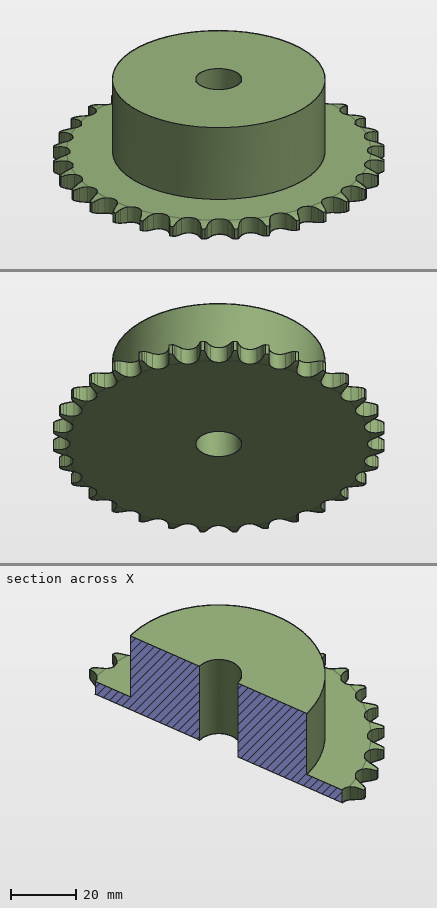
import cadquery as cq
import math

tooth_count = 32
root_radius = 45.4
seat_radius = 3.2
seat_half_angle = 53.1
working_radius = 8.3
working_angle = 16.3
straight_length = 0.9
topping_radius = 5.1
tip_radius = 50.7
plate_thickness = 5.3
bevel_start_radius = 46.4
bevel_arc_radius = 9.5
hub_diameter = 65.0
bore_diameter = 14.0
total_height = 30.0

tooth_angle = 360 / tooth_count
pitch_radius = root_radius + seat_radius
flank_angle = seat_half_angle + working_angle


def offset(point, distance, angle):
    """Move a point by a distance along a direction in degrees, counted from -X toward +Y."""
    a = math.radians(angle)
    return (point[0] - distance * math.cos(a), point[1] + distance * math.sin(a))


def rotated(point, angle):
    """Turn a point about the sprocket axis by an angle in degrees."""
    a = math.radians(angle)
    x, y = point
    return (x * math.cos(a) - y * math.sin(a), x * math.sin(a) + y * math.cos(a))


def mirrored(point):
    return (point[0], -point[1])


def topping_end_angle(center):
    """Direction, counted from -X, from the tip crossing of the topping curve to its center."""
    center_distance = math.hypot(*center)
    center_angle = math.atan2(center[1], center[0])
    cos_at_axis = (tip_radius**2 + center_distance**2 - topping_radius**2) / (
        2 * tip_radius * center_distance
    )
    tip_angle = center_angle - math.acos(cos_at_axis)
    tip_x = tip_radius * math.cos(tip_angle)
    tip_y = tip_radius * math.sin(tip_angle)
    return math.degrees(math.atan2(center[1] - tip_y, tip_x - center[0]))


seat_center = (pitch_radius, 0)
seat_bottom = offset(seat_center, seat_radius, 0)
seat_end = offset(seat_center, seat_radius, seat_half_angle)
working_center = offset(seat_end, -working_radius, seat_half_angle)
working_middle = offset(working_center, working_radius, seat_half_angle + working_angle / 2)
working_end = offset(working_center, working_radius, flank_angle)
straight_end = offset(working_end, straight_length, flank_angle + 90)
topping_center = offset(straight_end, topping_radius, flank_angle)
topping_end_direction = topping_end_angle(topping_center)
topping_middle = offset(topping_center, -topping_radius, (flank_angle + topping_end_direction) / 2)
topping_end = offset(topping_center, -topping_radius, topping_end_direction)
tip_middle = rotated((tip_radius, 0), tooth_angle / 2)


def toothed_disc():
    """Flat disc with the complete tooth outline."""
    outline = cq.Workplane("XY").moveTo(*mirrored(topping_end))
    for i in range(tooth_count):
        turn = i * tooth_angle
        outline = (
            outline.threePointArc(
                rotated(mirrored(topping_middle), turn), rotated(mirrored(straight_end), turn)
            )
            .lineTo(*rotated(mirrored(working_end), turn))
            .threePointArc(rotated(mirrored(working_middle), turn), rotated(mirrored(seat_end), turn))
            .threePointArc(rotated(seat_bottom, turn), rotated(seat_end, turn))
            .threePointArc(rotated(working_middle, turn), rotated(working_end, turn))
            .lineTo(*rotated(straight_end, turn))
            .threePointArc(rotated(topping_middle, turn), rotated(topping_end, turn))
            .threePointArc(
                rotated(tip_middle, turn), rotated(mirrored(topping_end), turn + tooth_angle)
            )
        )
    return outline.close().extrude(plate_thickness)


def bevel_envelope():
    """Disc whose rim is rounded on both sides, which thins the teeth toward the tips."""
    bevel_width = tip_radius - bevel_start_radius
    outer_drop = bevel_arc_radius - math.sqrt(bevel_arc_radius**2 - bevel_width**2)
    return (
        cq.Workplane("XZ")
        .lineTo(bevel_start_radius, 0)
        .radiusArc((tip_radius, outer_drop), -bevel_arc_radius)
        .lineTo(tip_radius, plate_thickness - outer_drop)
        .radiusArc((bevel_start_radius, plate_thickness), -bevel_arc_radius)
        .lineTo(0, plate_thickness)
        .close()
        .revolve(360, (0, 0, 0), (0, 1, 0))
    )


sprocket = toothed_disc().intersect(bevel_envelope())
hub = cq.Workplane("XY").circle(hub_diameter / 2).extrude(total_height)
bore = cq.Workplane("XY").circle(bore_diameter / 2).extrude(total_height)

result = sprocket.union(hub).cut(bore)